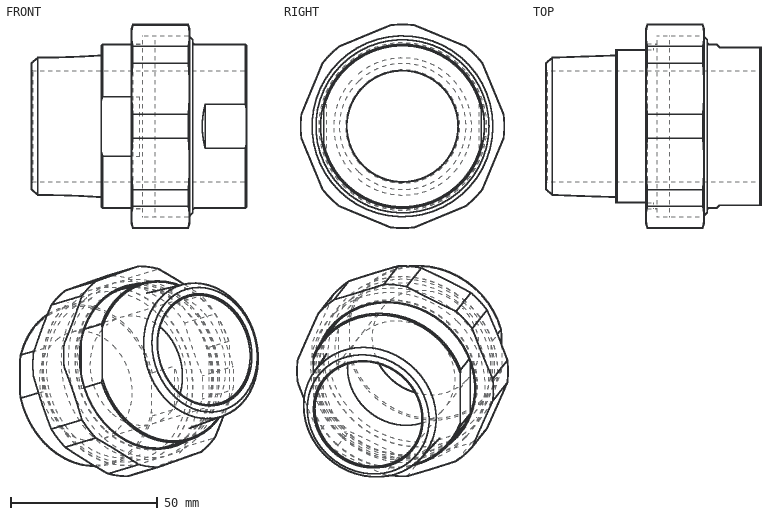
import cadquery as cq
import math

TOTAL_LENGTH = 73.5
BORE_R = 38.0 / 2
EDGE_CHAMFER = 0.45

TIP_R = 21.6
TIP_CHAMFER_LENGTH = 2.2
THREAD_SMALL_R = 23.5
THREAD_LARGE_R = 24.25
SHOULDER_X = 23.9
ROOT_FILLET = 0.3
BARREL_R = 56.0 / 2
TAIL_FLAT_OFFSET = 26.1
TAIL_FLAT_LENGTH = 12.85

NUT_START = 34.1
NUT_END = 54.1
NUT_CORNER_R = 69.7 / 2
NUT_FLAT_OFFSET = 33.5
NUT_SIDES = 8
NUT_CHAMFER_R = 33.1
NUT_CHAMFER_LENGTH = 0.5
NUT_LIP_R = 56.5 / 2
NUT_LIP_LENGTH = 3.7
NUT_BORE_R = 61.8 / 2
LIP_END = NUT_START + NUT_LIP_LENGTH

FLANGE_LENGTH = 4.4
JOINT_X = LIP_END + FLANGE_LENGTH

COLLAR_END = 55.1
COLLAR_CHAMFER = 1.3
COLLAR_FILLET = 0.7
BODY_FLAT_OFFSET = 27.0
BODY_FLAT_START = 59.4


def revolve_about_x(profile):
    """Revolve a closed profile, drawn as (x, radius), about the X axis."""
    return profile.close().revolve(360, (0, 0, 0), (1, 0, 0))


def make_tailpiece():
    tail = revolve_about_x(
        cq.Workplane("XY")
        .moveTo(0, BORE_R + EDGE_CHAMFER)
        .lineTo(0, TIP_R)
        .lineTo(TIP_CHAMFER_LENGTH, THREAD_SMALL_R)
        .lineTo(SHOULDER_X - ROOT_FILLET, THREAD_LARGE_R)
        .radiusArc((SHOULDER_X, THREAD_LARGE_R + ROOT_FILLET), -ROOT_FILLET)
        .lineTo(SHOULDER_X, BARREL_R - EDGE_CHAMFER)
        .lineTo(SHOULDER_X + EDGE_CHAMFER, BARREL_R)
        .lineTo(LIP_END, BARREL_R)
        .lineTo(LIP_END, NUT_BORE_R)
        .lineTo(JOINT_X, NUT_BORE_R)
        .lineTo(JOINT_X, BORE_R)
        .lineTo(EDGE_CHAMFER, BORE_R)
    )
    for side in (-1, 1):
        flat_cutter = cq.Workplane("XY").box(
            TAIL_FLAT_LENGTH, BARREL_R, 2 * BARREL_R, centered=(False, True, True)
        )
        offset = side * (TAIL_FLAT_OFFSET + BARREL_R / 2)
        tail = tail.cut(flat_cutter.translate((SHOULDER_X, offset, 0)))
    return tail


def make_nut():
    octagon = (
        cq.Workplane("YZ", origin=(NUT_START, 0, 0))
        .polygon(NUT_SIDES, 2 * NUT_FLAT_OFFSET / math.cos(math.pi / NUT_SIDES))
        .extrude(NUT_END - NUT_START)
    )
    envelope = revolve_about_x(
        cq.Workplane("XY")
        .moveTo(NUT_START, NUT_LIP_R + EDGE_CHAMFER)
        .lineTo(NUT_START, NUT_CHAMFER_R)
        .lineTo(NUT_START + NUT_CHAMFER_LENGTH, NUT_CORNER_R)
        .lineTo(NUT_END - NUT_CHAMFER_LENGTH, NUT_CORNER_R)
        .lineTo(NUT_END, NUT_CHAMFER_R)
        .lineTo(NUT_END, NUT_BORE_R)
        .lineTo(LIP_END, NUT_BORE_R)
        .lineTo(LIP_END, NUT_LIP_R)
        .lineTo(NUT_START + EDGE_CHAMFER, NUT_LIP_R)
    )
    return octagon.intersect(envelope)


def make_female_body():
    body = revolve_about_x(
        cq.Workplane("XY")
        .moveTo(JOINT_X, BORE_R)
        .lineTo(JOINT_X, NUT_BORE_R)
        .lineTo(COLLAR_END - COLLAR_CHAMFER, NUT_BORE_R)
        .lineTo(COLLAR_END, NUT_BORE_R - COLLAR_CHAMFER)
        .lineTo(COLLAR_END, BARREL_R + COLLAR_FILLET)
        .radiusArc((COLLAR_END + COLLAR_FILLET, BARREL_R), -COLLAR_FILLET)
        .lineTo(TOTAL_LENGTH - EDGE_CHAMFER, BARREL_R)
        .lineTo(TOTAL_LENGTH, BARREL_R - EDGE_CHAMFER)
        .lineTo(TOTAL_LENGTH, BORE_R)
    )
    runout = BARREL_R - BODY_FLAT_OFFSET
    flat_cutter = (
        cq.Workplane("XY")
        .moveTo(BODY_FLAT_START, BODY_FLAT_OFFSET)
        .lineTo(TOTAL_LENGTH, BODY_FLAT_OFFSET)
        .lineTo(TOTAL_LENGTH, BARREL_R)
        .lineTo(BODY_FLAT_START - runout, BARREL_R)
        .close()
        .extrude(BARREL_R, both=True)
    )
    return body.cut(flat_cutter).cut(flat_cutter.mirror("XZ"))


tailpiece = make_tailpiece()
nut = make_nut()
female_body = make_female_body()

result = cq.Compound.makeCompound([body.solids().val() for body in (tailpiece, nut, female_body)])